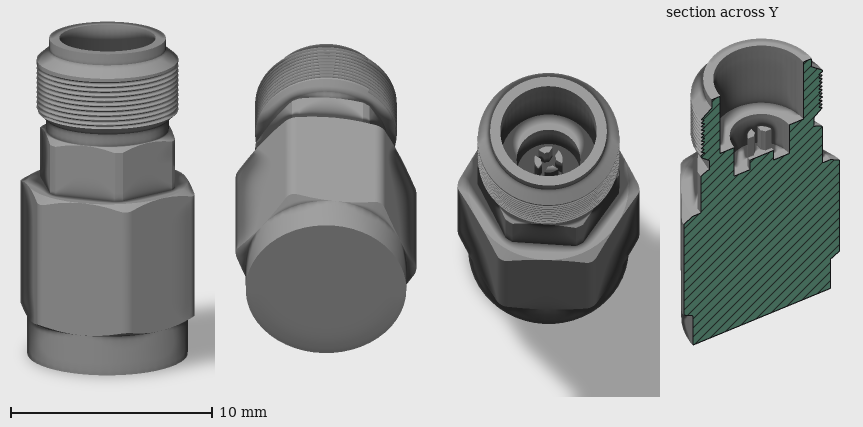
import cadquery as cq
import math

total_height = 16.31
sleeve_height = 2.0
nut_top = 8.85
body_hex_top = 11.58
neck_top = 12.2
thread_bottom = 12.62
thread_top = 15.22
tip_bottom = 15.74

sleeve_radius = 4.0
neck_radius = 3.05
thread_radius = 3.52
tip_radius = 2.9

half_facet_angle = 30.0
nut_flats = 2 * sleeve_radius
nut_corner_fillet = 0.62
body_flats = 6.3
body_corner_radius = thread_radius
body_turn_angle = -2.6
hex_bevel_angle = 30.0

thread_turns = 10
groove_depth = 0.2
groove_width = 0.21
groove_overshoot = 0.03
groove_height = thread_top - groove_width / 2 - thread_bottom
thread_pitch = groove_height / thread_turns

socket_radius = 2.4
socket_depth = 3.91
air_gap_radius = 1.58
air_gap_depth = 1.95
contact_radius = 0.7
contact_bore_radius = 0.38
contact_slot_width = 0.35
contact_cut_depth = 1.3


def cylinder(radius, bottom, top):
    return cq.Workplane("XY").workplane(offset=bottom).circle(radius).extrude(top - bottom)


def hexagon_corner_radius(flats):
    return flats / 2 / math.cos(math.radians(half_facet_angle))


def hexagon(flats, bottom, top):
    """Hexagonal prism with corners on the X axis."""
    corner_diameter = 2 * hexagon_corner_radius(flats)
    return cq.Workplane("XY").workplane(offset=bottom).polygon(6, corner_diameter).extrude(top - bottom)


def beveled_blank(flats, bottom, top, corner_radius, bevel_bottom):
    """Turned blank whose end bevels start at the inscribed circle of the hexagon."""
    face_radius = flats / 2
    bevel = (corner_radius - face_radius) * math.tan(math.radians(hex_bevel_angle))
    outline = cq.Workplane("XZ").moveTo(0, bottom)
    if bevel_bottom:
        outline = outline.lineTo(face_radius, bottom).lineTo(corner_radius, bottom + bevel)
    else:
        outline = outline.lineTo(corner_radius, bottom)
    outline = outline.lineTo(corner_radius, top - bevel).lineTo(face_radius, top).lineTo(0, top)
    return outline.close().revolve(360, (0, 0, 0), (0, 1, 0))


def make_nut():
    sharp_corner_radius = hexagon_corner_radius(nut_flats)
    prism = hexagon(nut_flats, sleeve_height, nut_top).edges("|Z").fillet(nut_corner_fillet)
    return prism.intersect(beveled_blank(nut_flats, sleeve_height, nut_top, sharp_corner_radius, True))


def make_body_hex():
    prism = hexagon(body_flats, nut_top, body_hex_top)
    blank = beveled_blank(body_flats, nut_top, body_hex_top, body_corner_radius, False)
    return prism.intersect(blank).rotate((0, 0, 0), (0, 0, 1), body_turn_angle)


def make_threaded_barrel():
    outline = (
        cq.Workplane("XZ")
        .moveTo(0, body_hex_top)
        .lineTo(neck_radius, body_hex_top)
        .lineTo(neck_radius, neck_top)
        .lineTo(thread_radius, thread_bottom)
        .lineTo(thread_radius, thread_top)
        .lineTo(tip_radius, tip_bottom)
        .lineTo(tip_radius, total_height)
        .lineTo(0, total_height)
        .close()
    )
    return outline.revolve(360, (0, 0, 0), (0, 1, 0)).cut(make_thread_groove())


def make_thread_groove():
    """Right-hand V groove that starts and ends on the -X side."""
    root_radius = thread_radius - groove_depth
    mouth_radius = thread_radius + groove_overshoot
    mouth_half_width = groove_width / 2 * (mouth_radius - root_radius) / groove_depth
    path = cq.Workplane(cq.Wire.makeHelix(thread_pitch, groove_height, root_radius))
    groove = (
        cq.Workplane("XZ")
        .moveTo(root_radius, 0)
        .lineTo(mouth_radius, mouth_half_width)
        .lineTo(mouth_radius, -mouth_half_width)
        .close()
        .sweep(path, isFrenet=True)
    )
    return groove.rotate((0, 0, 0), (0, 0, 1), 180).translate((0, 0, thread_bottom))


def make_contact(bottom, top):
    """Center contact, bored and split by two crossing slots."""
    cut_bottom = top - contact_cut_depth
    contact = cylinder(contact_radius, bottom, top)
    contact = contact.cut(cylinder(contact_bore_radius, cut_bottom, top))
    slot = (
        cq.Workplane("XY")
        .workplane(offset=cut_bottom)
        .rect(2 * contact_radius, contact_slot_width)
        .extrude(contact_cut_depth)
    )
    for angle in (0, 90):
        contact = contact.cut(slot.rotate((0, 0, 0), (0, 0, 1), angle))
    return contact


socket_floor = total_height - socket_depth
air_gap_floor = socket_floor - air_gap_depth

connector = cylinder(sleeve_radius, 0, sleeve_height)
connector = connector.union(make_nut()).union(make_body_hex()).union(make_threaded_barrel())
connector = connector.cut(cylinder(socket_radius, socket_floor, total_height))
connector = connector.cut(cylinder(air_gap_radius, air_gap_floor, socket_floor))
result = connector.union(make_contact(air_gap_floor, socket_floor))